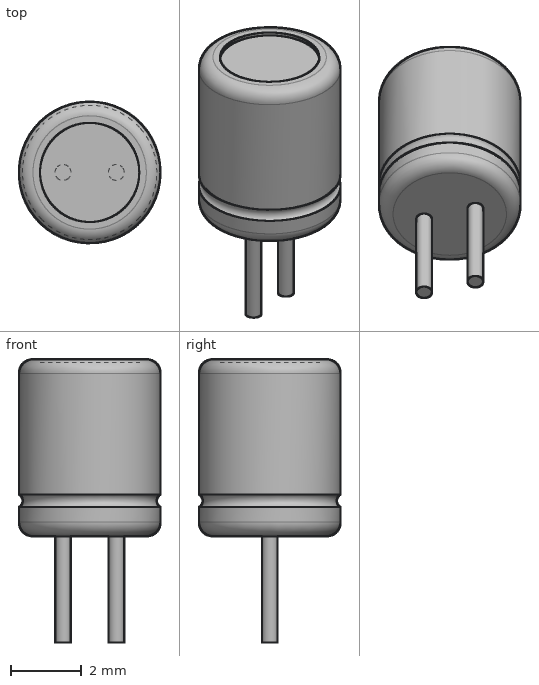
import cadquery as cq

body_diameter = 4.0
body_height = 5.0
edge_radius = 0.4

groove_bottom = 0.82
groove_top = 1.18
groove_depth = 0.1

recess_diameter = 2.8
recess_depth = 0.1

lead_diameter = 0.45
lead_length = 3.0
lead_pitch = 1.5


def make_can():
    """Closed can with rounded top and bottom rims."""
    can = cq.Workplane("XY").circle(body_diameter / 2).extrude(body_height)
    return can.faces("<Z or >Z").edges().fillet(edge_radius)


def make_crimp_groove():
    """Ring with an arc-shaped inner side, to be cut from the can wall."""
    wall = body_diameter / 2
    middle = (groove_bottom + groove_top) / 2
    return (
        cq.Workplane("XZ")
        .moveTo(wall, groove_bottom)
        .threePointArc((wall - groove_depth, middle), (wall, groove_top))
        .close()
        .revolve(360, (0, 0, 0), (0, 1, 0))
    )


def make_top_recess():
    """Shallow disc, to be cut from the top face."""
    floor = cq.Workplane("XY").workplane(offset=body_height - recess_depth)
    return floor.circle(recess_diameter / 2).extrude(recess_depth)


def make_leads():
    """Two round leads hanging below the can, side by side along X."""
    return (
        cq.Workplane("XY")
        .pushPoints([(-lead_pitch / 2, 0), (lead_pitch / 2, 0)])
        .circle(lead_diameter / 2)
        .extrude(-lead_length)
    )


result = make_can().cut(make_crimp_groove()).cut(make_top_recess()).union(make_leads())